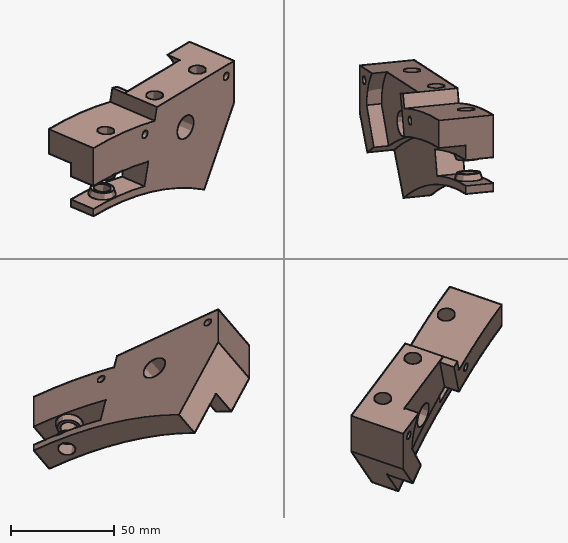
import math

import cadquery as cq


width = 28.3
length = 105.5
rim_radius = 166.1
front_height = 40.0
top_height = rim_radius + front_height
end_angle = 30.0

step_radius = 190.5
rim_offset = 14.0

nose_radius = 204.3
nose_angle = 13.0

lower_flange_thickness = 4.1
slot_gap = 12.9
slot_inner_radius = rim_radius + lower_flange_thickness
slot_outer_radius = slot_inner_radius + slot_gap
slot_angle = nose_angle
slot_overrun = 5.0

recess_depth = 7.7
recess_overrun = 1.0
recess_front_angle = 14.0
recess_back_angle = 27.0
recess_radius = top_height / math.cos(math.radians(nose_angle))
recess_round_radius = 25.5

cross_holes = [
    (4.0, 99.5, 200.1),
    (4.0, 38.6, 194.8),
    (12.3, 69.0, 185.2),
]

top_hole_diameter = 8.2
top_hole_depth = 15.0
top_hole_x = 20.2
top_hole_ys = (55.4, 87.5)

tilt_angle = 5.0
tilted_hole_diameter = 8.3
tilted_hole_x = (rim_offset + width) / 2
boss_base_diameter = 13.5
boss_tip_diameter = 11.3
boss_height = 3.0
boss_root = 1.0

margin = 5.0


def polar(radius, angle):
    """(Y, Z) of a point at a radius and angle about the common axis."""
    return radius * math.sin(math.radians(angle)), radius * math.cos(math.radians(angle))


def on_radial_line(height, angle):
    """(Y, Z) where the radial line at an angle reaches a height."""
    return height * math.tan(math.radians(angle)), height


def plane_at(x):
    """Plane whose local axes are Y and Z, extruding towards +X."""
    return cq.Workplane("YZ", origin=(x, 0, 0))


def band(inner_radius, outer_radius, start_angle, stop_angle, x_start, x_stop):
    """Ring sector between two radii and two angles."""
    mid_angle = (start_angle + stop_angle) / 2
    return (
        plane_at(x_start)
        .moveTo(*polar(inner_radius, start_angle))
        .lineTo(*polar(outer_radius, start_angle))
        .threePointArc(polar(outer_radius, mid_angle), polar(outer_radius, stop_angle))
        .lineTo(*polar(inner_radius, stop_angle))
        .threePointArc(polar(inner_radius, mid_angle), polar(inner_radius, start_angle))
        .close()
        .extrude(x_stop - x_start)
    )


def upper_body():
    """Full-width body: raised flat block and arched nose."""
    return (
        plane_at(0)
        .moveTo(0, step_radius)
        .lineTo(0, nose_radius)
        .threePointArc(polar(nose_radius, nose_angle / 2), polar(nose_radius, nose_angle))
        .lineTo(*on_radial_line(top_height, nose_angle))
        .lineTo(length, top_height)
        .lineTo(length, length / math.tan(math.radians(end_angle)))
        .lineTo(*polar(step_radius, end_angle))
        .threePointArc(polar(step_radius, end_angle / 2), (0, step_radius))
        .close()
        .extrude(width)
    )


def rim():
    """Narrow arched rim below the body, split at the front by the slot."""
    solid = band(rim_radius, step_radius, 0, end_angle, rim_offset, width)
    slot = band(
        slot_inner_radius,
        slot_outer_radius,
        -slot_overrun,
        slot_angle,
        rim_offset - margin,
        width + margin,
    )
    return solid.cut(slot)


def recess():
    """Pocket in the -X face, open to the top and to the step below."""
    bottom_radius = step_radius - margin
    clear_height = top_height + margin
    overrun_angle = nose_angle - recess_overrun

    corner_y, corner_z = polar(recess_radius, recess_back_angle)

    def rounded_wall(height):
        """Point on the rounded wall, which starts vertically at the corner."""
        rise = height - corner_z
        run = recess_round_radius - math.sqrt(recess_round_radius**2 - rise**2)
        return corner_y - run, height

    wall_top = rounded_wall(top_height)
    shoulder_mid_angle = (overrun_angle + recess_front_angle) / 2
    shoulder_end = polar(recess_radius, overrun_angle)
    return (
        plane_at(-margin)
        .moveTo(*polar(bottom_radius, recess_front_angle))
        .lineTo(*polar(recess_radius, recess_front_angle))
        .threePointArc(polar(recess_radius, shoulder_mid_angle), shoulder_end)
        .lineTo(shoulder_end[0], clear_height)
        .lineTo(wall_top[0], clear_height)
        .lineTo(*wall_top)
        .threePointArc(rounded_wall((corner_z + top_height) / 2), (corner_y, corner_z))
        .lineTo(*polar(bottom_radius, recess_back_angle))
        .close()
        .extrude(recess_depth + margin)
    )


def cross_hole(diameter, y, z):
    """Cutter for a hole right through the part along X."""
    return plane_at(-margin).center(y, z).circle(diameter / 2).extrude(width + 2 * margin)


def top_hole(y):
    """Cutter for a blind hole in the flat top."""
    floor_height = top_height - top_hole_depth
    return (
        cq.Workplane("XY", origin=(top_hole_x, y, floor_height))
        .circle(top_hole_diameter / 2)
        .extrude(top_hole_depth + margin)
    )


def tilted(solid):
    """Lean a solid built around the Z axis onto the tilted hole's axis."""
    return solid.rotate((0, 0, 0), (1, 0, 0), -tilt_angle).translate((tilted_hole_x, 0, 0))


def boss(face_radius, direction):
    """Tapered boss on a slot face; direction +1 grows outwards, -1 inwards."""
    base_half = boss_base_diameter / 2
    tip_half = boss_tip_diameter / 2
    root = face_radius - direction * boss_root
    tip = face_radius + direction * boss_height
    half_section = (
        cq.Workplane("XZ")
        .moveTo(0, root)
        .lineTo(base_half, root)
        .lineTo(base_half, face_radius)
        .lineTo(tip_half, tip)
        .lineTo(0, tip)
        .close()
    )
    return tilted(half_section.revolve(360, (0, 0, 0), (0, 1, 0)))


def tilted_hole():
    """Cutter through the nose, both bosses and the lower flange."""
    start = rim_radius - margin
    cutter = (
        cq.Workplane("XY", origin=(0, 0, start))
        .circle(tilted_hole_diameter / 2)
        .extrude(nose_radius + margin - start)
    )
    return tilted(cutter)


body = upper_body().cut(recess()).union(rim())
body = body.union(boss(slot_inner_radius, 1)).union(boss(slot_outer_radius, -1))
for diameter, hole_y, hole_z in cross_holes:
    body = body.cut(cross_hole(diameter, hole_y, hole_z))
for hole_y in top_hole_ys:
    body = body.cut(top_hole(hole_y))
result = body.cut(tilted_hole())